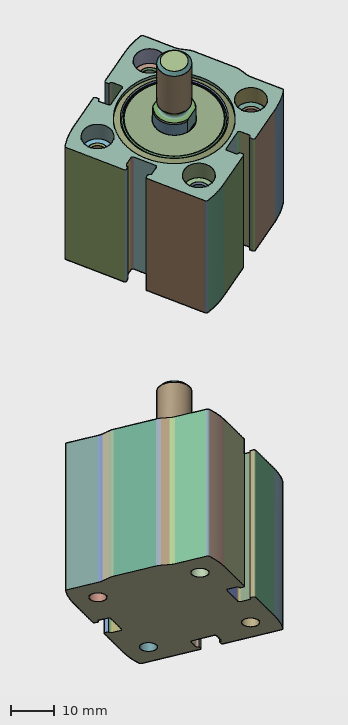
import cadquery as cq
import math

BODY_WIDTH = 38.5
BODY_HEIGHT = 38.4
HALF_WIDTH = BODY_WIDTH / 2
SIDE_FLAT_HALF = 12.8
SIDE_ARC_RADIUS = 20.0
CORNER_RADIUS = 0.65
BUMP_RISE = 1.0
BUMP_TOP_HALF = 6.05
BUMP_FOOT_HALF = 9.1
BUMP_BLEND_RADIUS = 4.05

SLOT_MOUTH = 5.1
SLOT_INNER_WIDTH = 6.5
SLOT_DEPTH = 4.45
SLOT_LIP = 1.3
SLOT_INNER_RADIUS = 0.5
SLOT_MOUTH_RADIUS = 0.4

HOLE_OFFSET = 13.0
HOLE_DIAMETER = 4.1
COUNTERBORE_DIAMETER = 7.5
COUNTERBORE_DEPTH = 5.0
HOLE_CHAMFER = 0.4

RECESS_DIAMETER = 27.8
RECESS_DEPTH = 0.9
CAP_DIAMETER = 24.65
CAP_FACE_DROP = 0.2
CAP_FACE_Z = BODY_HEIGHT - CAP_FACE_DROP
GROOVE_DEPTH = 0.3
GROOVE_BOTTOM_RADIUS = 12.0
GROOVE_INNER_RADIUS = 11.65
CAP_STEP_RADIUS = 11.6
CAP_FACE_RADIUS = 11.4
BORE_CHAMFER = 0.1

ROD_TOP = 58.0
ROD_DIAMETER = 10.0
ROD_DEPTH = 11.6
SHOULDER_CHAMFER = 0.35
SHOULDER_DROP = 0.8
ACROSS_FLATS = 9.0
COLLAR_TOP = 42.15
COLLAR_CHAMFER_HEIGHT = 0.4
COLLAR_CHAMFER_WIDTH = 0.2
STUD_DIAMETER = 8.0
STUD_BOTTOM = 44.25
STUD_END_DIAMETER = 6.4
NECK_DIAMETER = 6.4
NECK_FILLET = 0.6


def housing_block():
    """Extruded outline: straight ends, inward-curving sides and a raised +Y pad."""
    curve_end_x = HALF_WIDTH - SIDE_ARC_RADIUS + math.sqrt(
        SIDE_ARC_RADIUS**2 - (HALF_WIDTH - SIDE_FLAT_HALF) ** 2
    )
    half_angle = math.asin((HALF_WIDTH - SIDE_FLAT_HALF) / SIDE_ARC_RADIUS) / 2
    mid_x = HALF_WIDTH - SIDE_ARC_RADIUS * (1 - math.cos(half_angle))
    mid_y = SIDE_FLAT_HALF + SIDE_ARC_RADIUS * math.sin(half_angle)
    block = (
        cq.Workplane("XY")
        .moveTo(-curve_end_x, -HALF_WIDTH)
        .lineTo(curve_end_x, -HALF_WIDTH)
        .threePointArc((mid_x, -mid_y), (HALF_WIDTH, -SIDE_FLAT_HALF))
        .lineTo(HALF_WIDTH, SIDE_FLAT_HALF)
        .threePointArc((mid_x, mid_y), (curve_end_x, HALF_WIDTH))
        .lineTo(BUMP_FOOT_HALF, HALF_WIDTH)
        .lineTo(BUMP_TOP_HALF, HALF_WIDTH + BUMP_RISE)
        .lineTo(-BUMP_TOP_HALF, HALF_WIDTH + BUMP_RISE)
        .lineTo(-BUMP_FOOT_HALF, HALF_WIDTH)
        .lineTo(-curve_end_x, HALF_WIDTH)
        .threePointArc((-mid_x, mid_y), (-HALF_WIDTH, SIDE_FLAT_HALF))
        .lineTo(-HALF_WIDTH, -SIDE_FLAT_HALF)
        .threePointArc((-mid_x, -mid_y), (-curve_end_x, -HALF_WIDTH))
        .close()
        .extrude(BODY_HEIGHT)
    )
    pad_edges = cq.selectors.BoxSelector(
        (-BUMP_FOOT_HALF - 0.6, HALF_WIDTH - 0.6, 0),
        (BUMP_FOOT_HALF + 0.6, HALF_WIDTH + BUMP_RISE + 0.6, BODY_HEIGHT),
    )
    block = block.edges("|Z").edges(pad_edges).fillet(BUMP_BLEND_RADIUS)
    for side in (-1, 1):
        for end in (-1, 1):
            corner = (side * curve_end_x, end * HALF_WIDTH, BODY_HEIGHT / 2)
            block = block.edges(cq.selectors.NearestToPointSelector(corner)).fillet(CORNER_RADIUS)
    return block


def t_slot(angle):
    """Cutter for a slot through the full height, opening on -Y and turned by angle about Z."""
    floor_y = -HALF_WIDTH + SLOT_DEPTH
    lip_y = -HALF_WIDTH + SLOT_LIP
    chamber = (
        cq.Workplane("XY")
        .rect(SLOT_INNER_WIDTH, SLOT_DEPTH - SLOT_LIP)
        .extrude(BODY_HEIGHT)
        .edges("|Z")
        .fillet(SLOT_INNER_RADIUS)
        .translate((0, (floor_y + lip_y) / 2, 0))
    )
    mouth = (
        cq.Workplane("XY")
        .center(0, (floor_y - HALF_WIDTH) / 2)
        .rect(SLOT_MOUTH, SLOT_DEPTH)
        .extrude(BODY_HEIGHT)
    )
    cutter = chamber.union(mouth)
    half = SLOT_MOUTH / 2
    arc_inset = SLOT_MOUTH_RADIUS * (1 - math.sqrt(0.5))
    for side in (-1, 1):
        flare = (
            cq.Workplane("XY")
            .moveTo(side * (half + SLOT_MOUTH_RADIUS), -HALF_WIDTH)
            .threePointArc(
                (side * (half + arc_inset), -HALF_WIDTH + arc_inset),
                (side * half, -HALF_WIDTH + SLOT_MOUTH_RADIUS),
            )
            .lineTo(side * half, -HALF_WIDTH)
            .close()
            .extrude(BODY_HEIGHT)
        )
        cutter = cutter.union(flare)
    return cutter.rotate((0, 0, 0), (0, 0, 1), angle)


def mounting_hole(x, y):
    """Cutter for a counterbored through hole with a chamfered shoulder."""
    radius = HOLE_DIAMETER / 2
    shoulder_z = BODY_HEIGHT - COUNTERBORE_DEPTH
    return (
        cq.Workplane("XZ")
        .lineTo(radius, 0)
        .lineTo(radius, shoulder_z - HOLE_CHAMFER)
        .lineTo(radius + HOLE_CHAMFER, shoulder_z)
        .lineTo(COUNTERBORE_DIAMETER / 2, shoulder_z)
        .lineTo(COUNTERBORE_DIAMETER / 2, BODY_HEIGHT)
        .lineTo(0, BODY_HEIGHT)
        .close()
        .revolve(360, (0, 0), (0, 1))
        .translate((x, y, 0))
    )


def turned(points):
    """Solid of revolution about Z from (radius, z) points."""
    return cq.Workplane("XZ").polyline(points).close().revolve(360, (0, 0), (0, 1))


def cap_recess():
    """Ring with an upright outer wall and a floor that rises to the cap rim."""
    rim = RECESS_DIAMETER / 2
    return turned([
        (CAP_DIAMETER / 2, BODY_HEIGHT),
        (rim, BODY_HEIGHT),
        (rim, BODY_HEIGHT - RECESS_DEPTH),
    ])


def cap_groove():
    """V-groove next to the cap rim."""
    return turned([
        (CAP_DIAMETER / 2, BODY_HEIGHT),
        (GROOVE_BOTTOM_RADIUS, BODY_HEIGHT - GROOVE_DEPTH),
        (GROOVE_INNER_RADIUS, BODY_HEIGHT),
    ])


def cap_face():
    """Sunken cap face inside a sloped step."""
    return turned([
        (0, BODY_HEIGHT),
        (CAP_STEP_RADIUS, BODY_HEIGHT),
        (CAP_FACE_RADIUS, CAP_FACE_Z),
        (0, CAP_FACE_Z),
    ])


def rod_bore():
    """Blind bore for the rod, chamfered at its mouth."""
    radius = ROD_DIAMETER / 2
    floor_z = BODY_HEIGHT - ROD_DEPTH
    return turned([
        (0, floor_z),
        (radius, floor_z),
        (radius, CAP_FACE_Z - BORE_CHAMFER),
        (radius + BORE_CHAMFER, CAP_FACE_Z),
        (0, CAP_FACE_Z),
    ])


def make_housing():
    body = housing_block()
    for angle in (-90, 0, 90):
        body = body.cut(t_slot(angle))
    for x in (-HOLE_OFFSET, HOLE_OFFSET):
        for y in (-HOLE_OFFSET, HOLE_OFFSET):
            body = body.cut(mounting_hole(x, y))
    for cutter in (cap_recess(), cap_groove(), cap_face(), rod_bore()):
        body = body.cut(cutter)
    return body


def rod_shank():
    """Round rod inside the housing, ending in a chamfered shoulder below the top face."""
    return (
        cq.Workplane("XY", origin=(0, 0, BODY_HEIGHT - ROD_DEPTH))
        .circle(ROD_DIAMETER / 2)
        .extrude(ROD_DEPTH - SHOULDER_DROP)
        .faces(">Z")
        .chamfer(SHOULDER_CHAMFER)
    )


def rod_collar():
    """Chamfered collar with two wrench flats facing -X and +X."""
    bottom = BODY_HEIGHT - SHOULDER_DROP - SHOULDER_CHAMFER
    height = COLLAR_TOP - bottom
    collar = (
        cq.Workplane("XY", origin=(0, 0, bottom))
        .circle(ROD_DIAMETER / 2)
        .extrude(height)
        .faces(">Z")
        .chamfer(COLLAR_CHAMFER_HEIGHT, COLLAR_CHAMFER_WIDTH)
    )
    flats = cq.Workplane("XY", origin=(0, 0, bottom)).rect(ACROSS_FLATS, ROD_DIAMETER).extrude(height)
    return collar.intersect(flats)


def rod_stud():
    """Chamfered stud on a neck that blends into the collar below and the stud above."""
    neck = NECK_DIAMETER / 2
    stud = STUD_DIAMETER / 2
    end_chamfer = stud - STUD_END_DIAMETER / 2
    diagonal = math.sqrt(0.5) * NECK_FILLET
    center_r = neck + NECK_FILLET
    lower_z = COLLAR_TOP + NECK_FILLET
    cone_r = center_r - diagonal
    cone_z = STUD_BOTTOM - (stud - cone_r)
    upper_z = cone_z - diagonal
    half_turn = math.pi / 8
    return (
        cq.Workplane("XZ")
        .moveTo(0, COLLAR_TOP)
        .lineTo(center_r, COLLAR_TOP)
        .threePointArc((center_r - diagonal, lower_z - diagonal), (neck, lower_z))
        .lineTo(neck, upper_z)
        .threePointArc(
            (center_r - NECK_FILLET * math.cos(half_turn), upper_z + NECK_FILLET * math.sin(half_turn)),
            (cone_r, cone_z),
        )
        .lineTo(stud, STUD_BOTTOM)
        .lineTo(stud, ROD_TOP - end_chamfer)
        .lineTo(STUD_END_DIAMETER / 2, ROD_TOP)
        .lineTo(0, ROD_TOP)
        .close()
        .revolve(360, (0, 0), (0, 1))
    )


def make_rod():
    return rod_shank().union(rod_collar()).union(rod_stud())


housing = make_housing()
rod = make_rod()

result = cq.Compound.makeCompound([housing.val(), rod.val()])